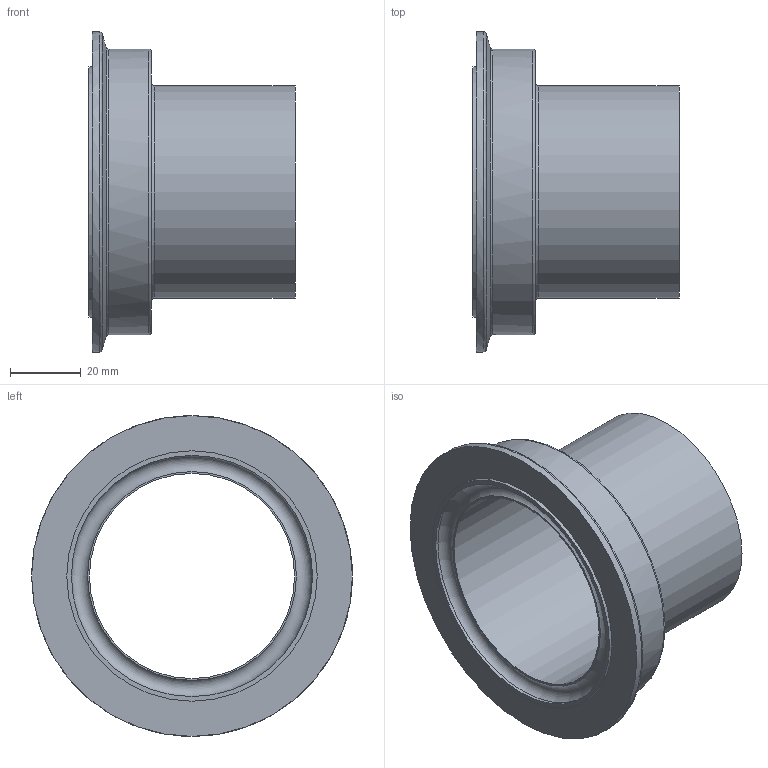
import cadquery as cq
import math

total_length = 58.5
lip_height = 1.0
hub_end = 17.75

flange_radius = 91.0 / 2
hub_radius = 81.0 / 2
lip_radius = 71.0 / 2
tube_radius = 60.3 / 2
bore_radius = 29.1

rim_width = 2.6
taper_angle = 16.0
taper_fillet = 0.8

hub_fillet = 0.8

groove_outer_radius = 34.2
groove_inner_radius = 29.6
groove_wall = 0.9
groove_round = 2.5

front = -total_length / 2
back = total_length / 2
flange_front = front + lip_height
rim_back = flange_front + rim_width
taper_foot = rim_back + (flange_radius - hub_radius) * math.tan(math.radians(taper_angle))
hub_back = front + hub_end

groove_center_x = front + groove_wall
groove_center_radius = groove_outer_radius - groove_round
inner_half_width = groove_center_radius - groove_inner_radius
inner_rim_x = groove_center_x + math.sqrt(groove_round**2 - inner_half_width**2)


def make_body():
    """Half section of lip, flange, hub, tube and groove, turned about X."""
    section = (
        cq.Workplane("XY")
        .moveTo(inner_rim_x, bore_radius)
        .lineTo(inner_rim_x, groove_inner_radius)
        .threePointArc(
            (groove_center_x + groove_round, groove_center_radius),
            (groove_center_x, groove_outer_radius),
        )
        .lineTo(front, groove_outer_radius)
        .lineTo(front, lip_radius)
        .lineTo(flange_front, lip_radius)
        .lineTo(flange_front, flange_radius)
        .lineTo(rim_back, flange_radius)
        .lineTo(taper_foot, hub_radius)
        .lineTo(hub_back, hub_radius)
        .lineTo(hub_back, tube_radius)
        .lineTo(back, tube_radius)
        .lineTo(back, bore_radius)
        .close()
    )
    return section.revolve(360, (0, 0, 0), (1, 0, 0))


def fillet_ring(body, x, radius, size):
    """Round the circular edge of the given radius that lies in the plane at x."""
    margin = 0.01
    reach = radius + margin
    slab = cq.selectors.BoxSelector(
        (x - margin, -reach, -reach), (x + margin, reach, reach), boundingbox=True
    )
    rings = body.edges(slab).edges("%CIRCLE").edges(cq.selectors.RadiusNthSelector(-1))
    return rings.fillet(size)


def round_edges(body):
    """Soften both ends of the taper and both edges of the hub's back face."""
    body = fillet_ring(body, rim_back, flange_radius, taper_fillet)
    body = fillet_ring(body, taper_foot, hub_radius, taper_fillet)
    body = fillet_ring(body, hub_back, hub_radius, hub_fillet)
    return fillet_ring(body, hub_back, tube_radius, hub_fillet)


result = round_edges(make_body())